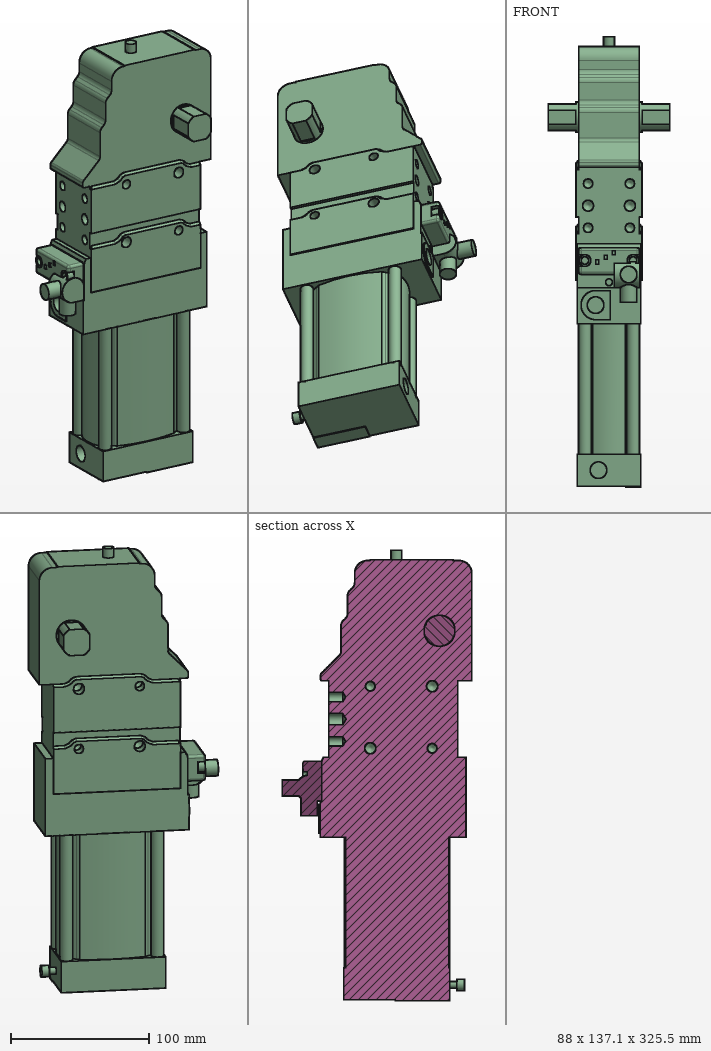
import cadquery as cq
import math


SHAFT_Z = 266.6
HEAD_HALF_WIDTH = 22.0
HEAD_BACK_Y = 23.4
HEAD_BOTTOM_Z = 230.3
HEAD_TOP_Z = 317.4
HEAD_TOP_RADIUS = 9.5
UPPER_FRONT_Y = -61.4
MIDDLE_FRONT_Y = -66.5
LOWER_FRONT_Y = -71.2
NOSE_FRONT_Y = -86.0
UPPER_STEP_Z = 299.1
MIDDLE_STEP_Z = 277.0
NOSE_SLOPE_TOP_Z = 250.0
STEP_RADIUS = 5.0
NOSE_INNER_RADIUS = 4.0
NOSE_OUTER_RADIUS = 2.5
NOSE_BOTTOM_RADIUS = 1.5
TOP_PLATE_HEIGHT = 0.5
TOP_PLATE_BACK_Y = 9.8
TOP_PLATE_FRONT_Y = -50.2
TOP_PIN_DIAMETER = 8.0
TOP_PIN_HEIGHT = 6.9
TOP_PIN_Y = -31.2

SHAFT_DIAMETER = 22.0
SHAFT_FLATS = 19.4
SHAFT_LENGTH = 88.0
SHAFT_ROUND_LENGTH = 48.0

BODY_BACK_Y = 13.3
BODY_FRONT_Y = -80.0
PAD_THICKNESS = 2.0
PAD_EDGE_CHAMFER = 1.8
PAD_HUMP_HEIGHT = 5.0
PAD_HUMP_BACK_Y = 3.4
PAD_HUMP_FRONT_Y = -57.9
UPPER_PAD_BOTTOM_Z = 194.5
UPPER_PAD_TOP_Z = HEAD_BOTTOM_Z
LOWER_PAD_BOTTOM_Z = 148.8
LOWER_PAD_TOP_Z = 184.2

LARGE_HOLE_DIAMETER = 7.9
SMALL_HOLE_DIAMETER = 6.65
TAPPED_HOLE_DEPTH = 10.0
DRILL_TIP_ANGLE = 118.0
FRONT_HOLE_X = 15.1
FRONT_HOLE_MIDDLE_Z = 202.7
FRONT_HOLE_PITCH = 16.0
SIDE_HOLE_BACK_Y = -5.3
SIDE_HOLE_FRONT_Y = -50.0
SIDE_HOLE_UPPER_Z = 226.5
SIDE_HOLE_LOWER_Z = 181.7

BLOCK_HALF_WIDTH = 23.0
BLOCK_BACK_Y = 19.2
BLOCK_FRONT_Y = -85.4
BLOCK_BOTTOM_Z = 117.4
BLOCK_TOP_Z = 175.3
BLOCK_TOP_BEVEL_HEIGHT = 3.4
BLOCK_TOP_BEVEL_DEPTH = 1.5
BLOCK_STEP_Z = 143.6
BLOCK_STEP_DEPTH = 0.9
PORT_DIAMETER = 12.0
PORT_DEPTH = 12.0
BLOCK_PORT_X = -9.7
BLOCK_PORT_Z = 130.9
PORT_PAD_RADIUS = 10.5
PORT_PAD_THICKNESS = 0.9
PLUG_HOLE_DIAMETER = 5.0
PLUG_HOLE_DEPTH = 3.0
PLUG_HOLE_Z = 147.4

CAP_BACK_Y = 7.4
CAP_FRONT_Y = -69.2
CAP_HEIGHT = 23.3
CAP_PORT_X = -7.6
CAP_PORT_Z = 11.7
FOOT_THICKNESS = 0.7
FOOT_INNER_X = 12.0
FOOT_LENGTH = 39.5
CYLINDER_CENTRE_Y = -30.7
ROD_DIAMETER = 9.4
ROD_OFFSET_X = 17.5
ROD_OFFSET_Y = 33.4
BARREL_HALF_WIDTH = 22.0
BARREL_HALF_LENGTH = 37.5
BARREL_SIDE_RISE = 3.0
BARREL_END_RISE = 2.5
BARREL_SIDE_HALF_CHORD = 24.0
BARREL_LIP_X = 17.5
BARREL_LIP_Y = 26.2
BARREL_END_HALF_CHORD = 11.6
VENT_SCREW_Z = 10.8
VENT_NECK_DIAMETER = 5.0
VENT_NECK_LENGTH = 5.2
VENT_HEAD_DIAMETER = 8.5
VENT_HEAD_LENGTH = 5.6

SENSOR_HALF_WIDTH = 22.0
SENSOR_DEPTH = 13.5
SENSOR_BOTTOM_Z = 153.0
SENSOR_TOP_Z = 172.5
SENSOR_EDGE_RADIUS = 2.0
SENSOR_FRONT_Y = BLOCK_FRONT_Y - SENSOR_DEPTH
SCREW_X = 17.4
SCREW_Z = 163.1
SCREW_HEAD_DIAMETER = 8.5
SCREW_SEAT_DEPTH = 5.8
SCREW_HEAD_HEIGHT = 5.5
SCREW_SOCKET_DIAMETER = 5.49
SCREW_SOCKET_DEPTH = 3.0
LAMP_WIDTH = 2.2
LAMP_HEIGHT = 3.0
LAMP_DEPTH = 3.0
LAMP_COUNT = 3
LAMP_FIRST_X = -8.4
LAMP_FIRST_Z = 162.0
LAMP_PITCH_X = 5.9
LAMP_PITCH_Z = 3.4
ELBOW_X = 13.0
ELBOW_WIDTH = 18.6
ELBOW_RADIUS = 9.4
ELBOW_Y = -94.2
ELBOW_Z = BLOCK_STEP_Z + ELBOW_RADIUS
PLUG_X = 14.2
PLUG_DIAMETER = 12.0
PLUG_FRONT_Y = -113.7
PLUG_BOTTOM_Z = 132.8


def box(x_min, x_max, y_min, y_max, z_min, z_max):
    """Block between the given limits."""
    size = (x_max - x_min, y_max - y_min, z_max - z_min)
    return cq.Workplane("XY").box(*size, centered=False).translate((x_min, y_min, z_min))


def rod(start, direction, diameter, length):
    """Cylinder that starts at a point and runs along a direction."""
    solid = cq.Solid.makeCylinder(diameter / 2, length, cq.Vector(*start), cq.Vector(*direction))
    return cq.Workplane(obj=solid)


def drilled_hole(start, direction, diameter):
    """Blind hole with a conical drill tip."""
    tip_depth = diameter / 2 / math.tan(math.radians(DRILL_TIP_ANGLE / 2))
    tip_start = cq.Vector(*start) + cq.Vector(*direction) * TAPPED_HOLE_DEPTH
    tip = cq.Solid.makeCone(diameter / 2, 0, tip_depth, tip_start, cq.Vector(*direction))
    return rod(start, direction, diameter, TAPPED_HOLE_DEPTH).union(cq.Workplane(obj=tip))


def make_head():
    """Stepped head with rounded corners, a thin top plate and the pin on it."""
    upper_step_end_z = UPPER_STEP_Z + (MIDDLE_FRONT_Y - UPPER_FRONT_Y)
    middle_step_end_z = MIDDLE_STEP_Z + (LOWER_FRONT_Y - MIDDLE_FRONT_Y)
    nose_slope_end_z = NOSE_SLOPE_TOP_Z + (NOSE_FRONT_Y - LOWER_FRONT_Y)
    corners = [
        (HEAD_BACK_Y, HEAD_BOTTOM_Z, 0),
        (HEAD_BACK_Y, HEAD_TOP_Z, HEAD_TOP_RADIUS),
        (UPPER_FRONT_Y, HEAD_TOP_Z, HEAD_TOP_RADIUS),
        (UPPER_FRONT_Y, UPPER_STEP_Z, STEP_RADIUS),
        (MIDDLE_FRONT_Y, upper_step_end_z, STEP_RADIUS),
        (MIDDLE_FRONT_Y, MIDDLE_STEP_Z, STEP_RADIUS),
        (LOWER_FRONT_Y, middle_step_end_z, STEP_RADIUS),
        (LOWER_FRONT_Y, NOSE_SLOPE_TOP_Z, NOSE_INNER_RADIUS),
        (NOSE_FRONT_Y, nose_slope_end_z, NOSE_OUTER_RADIUS),
        (NOSE_FRONT_Y, HEAD_BOTTOM_Z, NOSE_BOTTOM_RADIUS),
    ]
    outline = [(y, z) for y, z, radius in corners]
    head = cq.Workplane("YZ").polyline(outline).close().extrude(HEAD_HALF_WIDTH, both=True)
    for y, z, radius in corners:
        if radius > 0:
            corner_edge = cq.selectors.NearestToPointSelector((0, y, z))
            head = head.edges("|X").edges(corner_edge).fillet(radius)
    plate_top_z = HEAD_TOP_Z + TOP_PLATE_HEIGHT
    half = HEAD_HALF_WIDTH
    plate = box(-half, half, TOP_PLATE_FRONT_Y, TOP_PLATE_BACK_Y, HEAD_TOP_Z, plate_top_z)
    pin = rod((0, TOP_PIN_Y, plate_top_z), (0, 0, 1), TOP_PIN_DIAMETER, TOP_PIN_HEIGHT)
    return head.union(plate).union(pin)


def make_pads(bottom_z, top_z):
    """Raised pads on both sides, each with a hump on its bevelled top edge."""
    outline = [
        (BODY_BACK_Y, bottom_z),
        (BODY_BACK_Y, top_z),
        (PAD_HUMP_BACK_Y, top_z),
        (PAD_HUMP_BACK_Y - PAD_HUMP_HEIGHT, top_z + PAD_HUMP_HEIGHT),
        (PAD_HUMP_FRONT_Y + PAD_HUMP_HEIGHT, top_z + PAD_HUMP_HEIGHT),
        (PAD_HUMP_FRONT_Y, top_z),
        (BODY_FRONT_Y, top_z),
        (BODY_FRONT_Y, bottom_z),
    ]
    middle_z = (bottom_z + top_z) / 2
    inner_face = cq.Workplane("YZ", origin=(HEAD_HALF_WIDTH, 0, 0))
    pad = inner_face.polyline(outline).close().extrude(PAD_THICKNESS)
    top_edges = cq.selectors.BoxSelector(
        (HEAD_HALF_WIDTH + PAD_THICKNESS / 2, BODY_FRONT_Y, middle_z + PAD_THICKNESS),
        (HEAD_HALF_WIDTH + PAD_THICKNESS * 2, BODY_BACK_Y, top_z + 2 * PAD_HUMP_HEIGHT),
    )
    pad = pad.edges(top_edges).chamfer(PAD_EDGE_CHAMFER)
    return pad.union(pad.mirror("YZ"))


def make_block():
    """Cylinder head block with a stepped front and a raised pad round its port."""
    half = BLOCK_HALF_WIDTH
    block = box(-half, half, BLOCK_FRONT_Y, BLOCK_BACK_Y, BLOCK_BOTTOM_Z, BLOCK_TOP_Z)
    block = block.faces("<Y").edges(">Z").chamfer(BLOCK_TOP_BEVEL_HEIGHT, BLOCK_TOP_BEVEL_DEPTH)
    step_y = BLOCK_FRONT_Y - BLOCK_STEP_DEPTH
    block = block.union(box(-half, half, step_y, BLOCK_FRONT_Y, BLOCK_BOTTOM_Z, BLOCK_STEP_Z))
    pad_y = step_y - PORT_PAD_THICKNESS
    round_end = rod((BLOCK_PORT_X, step_y, BLOCK_PORT_Z), (0, -1, 0), 2 * PORT_PAD_RADIUS, PORT_PAD_THICKNESS)
    square_end = box(
        BLOCK_PORT_X, BLOCK_PORT_X + PORT_PAD_RADIUS,
        pad_y, step_y,
        BLOCK_PORT_Z - PORT_PAD_RADIUS, BLOCK_PORT_Z + PORT_PAD_RADIUS,
    )
    port = rod((BLOCK_PORT_X, pad_y, BLOCK_PORT_Z), (0, 1, 0), PORT_DIAMETER, PORT_DEPTH)
    plug_hole = rod((0, BLOCK_FRONT_Y, PLUG_HOLE_Z), (0, 1, 0), PLUG_HOLE_DIAMETER, PLUG_HOLE_DEPTH)
    return block.union(round_end).union(square_end).cut(port).cut(plug_hole)


def make_barrel():
    """Barrel with bulged sides and bevelled corners, between end cap and block."""
    side_x = BARREL_HALF_WIDTH - BARREL_SIDE_RISE
    end_y = BARREL_HALF_LENGTH - BARREL_END_RISE
    barrel = (
        cq.Workplane("XY", origin=(0, CYLINDER_CENTRE_Y, CAP_HEIGHT))
        .moveTo(side_x, -BARREL_SIDE_HALF_CHORD)
        .threePointArc((BARREL_HALF_WIDTH, 0), (side_x, BARREL_SIDE_HALF_CHORD))
        .lineTo(BARREL_LIP_X, BARREL_LIP_Y)
        .lineTo(BARREL_END_HALF_CHORD, end_y)
        .threePointArc((0, BARREL_HALF_LENGTH), (-BARREL_END_HALF_CHORD, end_y))
        .lineTo(-BARREL_LIP_X, BARREL_LIP_Y)
        .lineTo(-side_x, BARREL_SIDE_HALF_CHORD)
        .threePointArc((-BARREL_HALF_WIDTH, 0), (-side_x, -BARREL_SIDE_HALF_CHORD))
        .lineTo(-BARREL_LIP_X, -BARREL_LIP_Y)
        .lineTo(-BARREL_END_HALF_CHORD, -end_y)
        .threePointArc((0, -BARREL_HALF_LENGTH), (BARREL_END_HALF_CHORD, -end_y))
        .lineTo(BARREL_LIP_X, -BARREL_LIP_Y)
        .close()
        .extrude(BLOCK_BOTTOM_Z - CAP_HEIGHT)
    )
    for side in (-1, 1):
        for end in (-1, 1):
            foot = (side * ROD_OFFSET_X, CYLINDER_CENTRE_Y + end * ROD_OFFSET_Y, CAP_HEIGHT)
            barrel = barrel.union(rod(foot, (0, 0, 1), ROD_DIAMETER, BLOCK_BOTTOM_Z - CAP_HEIGHT))
    return barrel


def make_end_cap():
    """End cap with its port, foot pad and the vent screw at the back."""
    half = BLOCK_HALF_WIDTH
    cap = box(-half, half, CAP_FRONT_Y, CAP_BACK_Y, 0, CAP_HEIGHT)
    foot = box(FOOT_INNER_X, half, CAP_BACK_Y - FOOT_LENGTH, CAP_BACK_Y, -FOOT_THICKNESS, 0)
    port = rod((CAP_PORT_X, CAP_FRONT_Y, CAP_PORT_Z), (0, 1, 0), PORT_DIAMETER, PORT_DEPTH)
    neck = rod((0, CAP_BACK_Y, VENT_SCREW_Z), (0, 1, 0), VENT_NECK_DIAMETER, VENT_NECK_LENGTH)
    head_start = (0, CAP_BACK_Y + VENT_NECK_LENGTH, VENT_SCREW_Z)
    head = rod(head_start, (0, 1, 0), VENT_HEAD_DIAMETER, VENT_HEAD_LENGTH)
    return cap.union(foot).cut(port).union(neck).union(head)


def make_mounting_holes():
    """Tapped holes in the front face and in both side pads."""
    holes = cq.Workplane("XY")
    for side in (-1, 1):
        for row in (-1, 0, 1):
            diameter = LARGE_HOLE_DIAMETER if row == 0 else SMALL_HOLE_DIAMETER
            start = (side * FRONT_HOLE_X, BODY_FRONT_Y, FRONT_HOLE_MIDDLE_Z + row * FRONT_HOLE_PITCH)
            holes = holes.add(drilled_hole(start, (0, 1, 0), diameter))
        for y, z, diameter in (
            (SIDE_HOLE_BACK_Y, SIDE_HOLE_UPPER_Z, LARGE_HOLE_DIAMETER),
            (SIDE_HOLE_FRONT_Y, SIDE_HOLE_UPPER_Z, SMALL_HOLE_DIAMETER),
            (SIDE_HOLE_BACK_Y, SIDE_HOLE_LOWER_Z, SMALL_HOLE_DIAMETER),
            (SIDE_HOLE_FRONT_Y, SIDE_HOLE_LOWER_Z, LARGE_HOLE_DIAMETER),
        ):
            start = (side * (HEAD_HALF_WIDTH + PAD_THICKNESS), y, z)
            holes = holes.add(drilled_hole(start, (-side, 0, 0), diameter))
    return holes.vals()


def make_clamp():
    """Head, middle body, block, cylinder and end cap as one solid."""
    half = HEAD_HALF_WIDTH
    clamp = box(-half, half, BODY_FRONT_Y, BODY_BACK_Y, BLOCK_BOTTOM_Z, HEAD_BOTTOM_Z)
    clamp = clamp.union(make_head())
    clamp = clamp.union(make_block())
    clamp = clamp.union(make_pads(UPPER_PAD_BOTTOM_Z, UPPER_PAD_TOP_Z))
    clamp = clamp.union(make_pads(LOWER_PAD_BOTTOM_Z, LOWER_PAD_TOP_Z))
    clamp = clamp.union(make_barrel())
    clamp = clamp.union(make_end_cap())
    for hole in make_mounting_holes():
        clamp = clamp.cut(cq.Workplane(obj=hole))
    bore = rod((-half, 0, SHAFT_Z), (1, 0, 0), SHAFT_DIAMETER, 2 * half)
    return clamp.cut(bore)


def make_shaft():
    """Pivot shaft, round in the head, with four flats on each end."""
    full = rod((-SHAFT_LENGTH / 2, 0, SHAFT_Z), (1, 0, 0), SHAFT_DIAMETER, SHAFT_LENGTH)
    square = cq.Workplane("XY", origin=(0, 0, SHAFT_Z)).box(SHAFT_LENGTH, SHAFT_FLATS, SHAFT_FLATS)
    start = (-SHAFT_ROUND_LENGTH / 2, 0, SHAFT_Z)
    middle = rod(start, (1, 0, 0), SHAFT_DIAMETER, SHAFT_ROUND_LENGTH)
    return full.intersect(square).union(middle)


def make_sensor():
    """Sensor box with screws, lamps and an elbow plug connector."""
    half = SENSOR_HALF_WIDTH
    sensor = box(-half, half, SENSOR_FRONT_Y, BLOCK_FRONT_Y, SENSOR_BOTTOM_Z, SENSOR_TOP_Z)
    sensor = sensor.faces("<Y or <X or >X").edges("not >Y").fillet(SENSOR_EDGE_RADIUS)
    seat_y = SENSOR_FRONT_Y + SCREW_SEAT_DEPTH
    head_radius = SCREW_HEAD_DIAMETER / 2
    for side in (-1, 1):
        notch_x = sorted((side * SCREW_X, side * half))
        sensor = sensor.cut(
            box(*notch_x, SENSOR_FRONT_Y, seat_y, SCREW_Z - head_radius, SCREW_Z + head_radius)
        )
        seat = (side * SCREW_X, seat_y, SCREW_Z)
        sensor = sensor.cut(rod(seat, (0, -1, 0), SCREW_HEAD_DIAMETER, SCREW_SEAT_DEPTH))
        sensor = sensor.union(rod(seat, (0, -1, 0), SCREW_HEAD_DIAMETER, SCREW_HEAD_HEIGHT))
        socket = (side * SCREW_X, seat_y - SCREW_HEAD_HEIGHT, SCREW_Z)
        sensor = sensor.cut(rod(socket, (0, 1, 0), SCREW_SOCKET_DIAMETER, SCREW_SOCKET_DEPTH))
    for index in range(LAMP_COUNT):
        x = LAMP_FIRST_X + index * LAMP_PITCH_X
        z = LAMP_FIRST_Z + index * LAMP_PITCH_Z
        lamp = cq.Workplane("XY").box(LAMP_WIDTH, 2 * LAMP_DEPTH, LAMP_HEIGHT)
        sensor = sensor.cut(lamp.translate((x, SENSOR_FRONT_Y, z)))
    left_x = ELBOW_X - ELBOW_WIDTH / 2
    elbow = rod((left_x, ELBOW_Y, ELBOW_Z), (1, 0, 0), 2 * ELBOW_RADIUS, ELBOW_WIDTH)
    back = box(left_x, left_x + ELBOW_WIDTH, ELBOW_Y, BLOCK_FRONT_Y, BLOCK_STEP_Z, ELBOW_Z)
    front_limit = box(left_x, left_x + ELBOW_WIDTH, PLUG_FRONT_Y, BLOCK_FRONT_Y, BLOCK_STEP_Z, SENSOR_TOP_Z)
    sensor = sensor.union(elbow.intersect(front_limit)).union(back)
    center = (PLUG_X, ELBOW_Y, ELBOW_Z)
    sensor = sensor.union(rod(center, (0, -1, 0), PLUG_DIAMETER, ELBOW_Y - PLUG_FRONT_Y))
    return sensor.union(rod(center, (0, 0, -1), PLUG_DIAMETER, ELBOW_Z - PLUG_BOTTOM_Z))


clamp = make_clamp()
shaft = make_shaft()
sensor = make_sensor()

result = cq.Compound.makeCompound([clamp.val(), shaft.val(), sensor.val()])